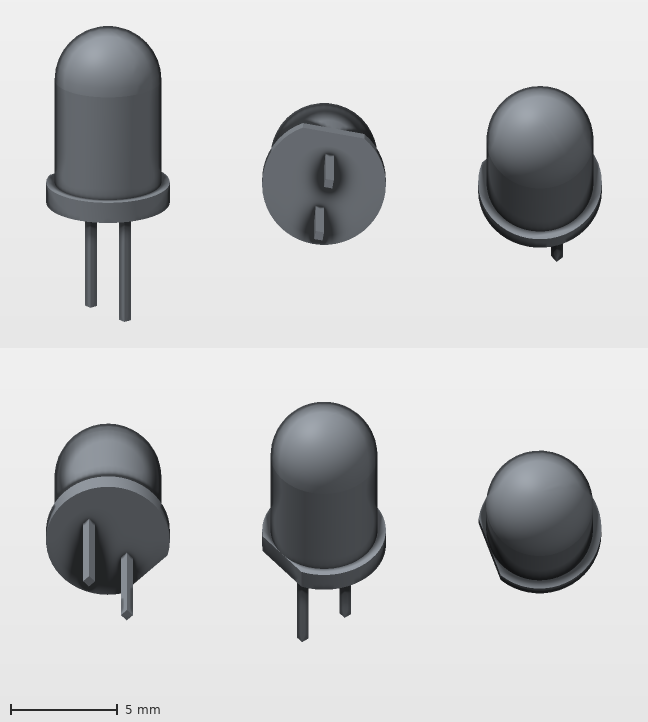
import cadquery as cq

total_height = 14.1
lens_diameter = 5.0
flange_diameter = 5.8
flange_height = 1.0
lead_length = 5.5
lead_width = 0.4
lead_pitch = 2.54

lens_radius = lens_diameter / 2
flange_radius = flange_diameter / 2
lens_top = total_height - lead_length
dome_base = lens_top - lens_radius


def make_lens():
    """Cylindrical body with a hemispherical dome, standing on the flange."""
    dome_mid = lens_radius * 0.5 ** 0.5
    return (
        cq.Workplane("XZ")
        .moveTo(0, flange_height)
        .lineTo(lens_radius, flange_height)
        .lineTo(lens_radius, dome_base)
        .threePointArc((dome_mid, dome_base + dome_mid), (0, lens_top))
        .close()
        .revolve(360, (0, 0, 0), (0, 1, 0))
    )


def make_flange():
    """Round flange with a flat on the -X side, tangent to the lens."""
    disc = cq.Workplane("XY").circle(flange_radius).extrude(flange_height)
    keep_box = (
        cq.Workplane("XY")
        .box(flange_diameter, flange_diameter, flange_height, centered=(False, True, False))
        .translate((-lens_radius, 0, 0))
    )
    return disc.intersect(keep_box)


def make_leads():
    """Two square leads hanging below the flange."""
    return (
        cq.Workplane("XY")
        .pushPoints([(-lead_pitch / 2, 0), (lead_pitch / 2, 0)])
        .rect(lead_width, lead_width)
        .extrude(-lead_length)
    )


result = make_flange().union(make_lens()).union(make_leads())